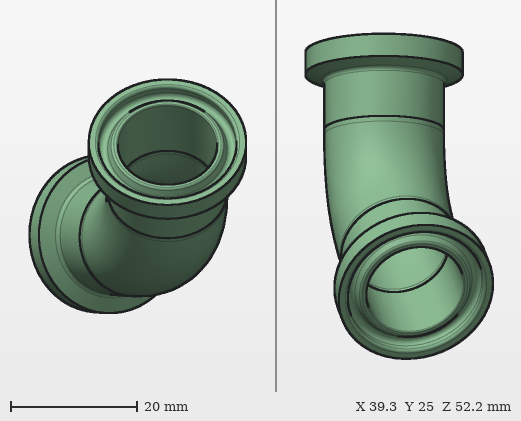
import cadquery as cq
import math

TUBE_OUTER_RADIUS = 19.05 / 2
TUBE_INNER_RADIUS = 15.75 / 2
BEND_ANGLE = 45.0
BEND_RADIUS = 3 * TUBE_OUTER_RADIUS
CORNER_TO_FACE = 25.4

FERRULE_LENGTH = 12.7
FLANGE_RADIUS = 12.5
RIM_THICKNESS = 3.65
FLANGE_BACK_SLOPE = 20.0
NECK_FILLET = 0.76

GROOVE_OUTER_RADIUS = 10.95
GROOVE_RIM_FILLET = 0.5
GROOVE_FLOOR_RADIUS = 0.78
GROOVE_FLOOR_CENTER_DEPTH = 1.43
GROOVE_INNER_SLOPE = 60.0

LAND_DEPTH = 0.65
LAND_OUTER_FILLET = 0.5
BORE_EDGE_FILLET = 0.2

bend_setback = BEND_RADIUS * math.tan(math.radians(BEND_ANGLE / 2))
tail_length = CORNER_TO_FACE - bend_setback - FERRULE_LENGTH


def polar(center, radius, angle):
    """Point on a circle, at an angle in degrees from the +X direction."""
    a = math.radians(angle)
    return (center[0] + radius * math.cos(a), center[1] + radius * math.sin(a))


def make_ferrule():
    """Ferrule on the Z axis, its outer face at Z = 0 and its tube running down."""
    rim_center = (GROOVE_OUTER_RADIUS + GROOVE_RIM_FILLET, -GROOVE_RIM_FILLET)

    floor_center = (GROOVE_OUTER_RADIUS - GROOVE_FLOOR_RADIUS, -GROOVE_FLOOR_CENTER_DEPTH)
    slope_normal = 90 - GROOVE_INNER_SLOPE
    floor_end_angle = 180 + slope_normal
    floor_mid_angle = (floor_end_angle + 360) / 2
    floor_end = polar(floor_center, GROOVE_FLOOR_RADIUS, floor_end_angle)

    land_center_z = -LAND_DEPTH - LAND_OUTER_FILLET
    slope_end_z = land_center_z + LAND_OUTER_FILLET * math.sin(math.radians(slope_normal))
    slope_run = (slope_end_z - floor_end[1]) / math.tan(math.radians(GROOVE_INNER_SLOPE))
    slope_end = (floor_end[0] - slope_run, slope_end_z)
    land_center = polar(slope_end, LAND_OUTER_FILLET, 180 + slope_normal)
    land_mid_angle = (slope_normal + 90) / 2

    bore_edge_center = (TUBE_INNER_RADIUS + BORE_EDGE_FILLET, -LAND_DEPTH - BORE_EDGE_FILLET)

    back_drop = (FLANGE_RADIUS - TUBE_OUTER_RADIUS) * math.tan(math.radians(FLANGE_BACK_SLOPE))
    back_corner_z = -RIM_THICKNESS - back_drop
    neck_tangent = NECK_FILLET * math.tan(math.radians((90 - FLANGE_BACK_SLOPE) / 2))
    neck_center = (TUBE_OUTER_RADIUS + NECK_FILLET, back_corner_z - neck_tangent)
    neck_start_angle = 90 + FLANGE_BACK_SLOPE
    neck_mid_angle = (neck_start_angle + 180) / 2

    profile = (
        cq.Workplane("XZ")
        .moveTo(FLANGE_RADIUS, 0)
        .lineTo(rim_center[0], 0)
        .threePointArc(polar(rim_center, GROOVE_RIM_FILLET, 135), (GROOVE_OUTER_RADIUS, rim_center[1]))
        .lineTo(GROOVE_OUTER_RADIUS, floor_center[1])
        .threePointArc(polar(floor_center, GROOVE_FLOOR_RADIUS, floor_mid_angle), floor_end)
        .lineTo(*slope_end)
        .threePointArc(
            polar(land_center, LAND_OUTER_FILLET, land_mid_angle),
            (land_center[0], -LAND_DEPTH),
        )
        .lineTo(bore_edge_center[0], -LAND_DEPTH)
        .threePointArc(
            polar(bore_edge_center, BORE_EDGE_FILLET, 135),
            (TUBE_INNER_RADIUS, bore_edge_center[1]),
        )
        .lineTo(TUBE_INNER_RADIUS, -FERRULE_LENGTH)
        .lineTo(TUBE_OUTER_RADIUS, -FERRULE_LENGTH)
        .lineTo(TUBE_OUTER_RADIUS, neck_center[1])
        .threePointArc(
            polar(neck_center, NECK_FILLET, neck_mid_angle),
            polar(neck_center, NECK_FILLET, neck_start_angle),
        )
        .lineTo(FLANGE_RADIUS, -RIM_THICKNESS)
        .close()
    )
    return profile.revolve(360, (0, 0, 0), (0, 1, 0))


def make_elbow():
    """Bent tube whose upper end meets the ferrule that hangs from Z = 0."""
    top_z = -FERRULE_LENGTH
    bend_start = (0, top_z - tail_length)
    bend_center = (-BEND_RADIUS, bend_start[1])
    bend_middle = polar(bend_center, BEND_RADIUS, -BEND_ANGLE / 2)
    bend_end = polar(bend_center, BEND_RADIUS, -BEND_ANGLE)
    tail_end = polar(bend_end, tail_length, -90 - BEND_ANGLE)
    path = (
        cq.Workplane("XZ")
        .moveTo(0, top_z)
        .lineTo(*bend_start)
        .threePointArc(bend_middle, bend_end)
        .lineTo(*tail_end)
    )
    wall = cq.Workplane("XY", origin=(0, 0, top_z)).circle(TUBE_OUTER_RADIUS).circle(TUBE_INNER_RADIUS)
    return wall.sweep(path)


def place_on_leg(ferrule, leg_angle):
    """Turn a ferrule about the point where the two leg axes cross, to face outward along a leg."""
    corner = (0, 0, -CORNER_TO_FACE)
    corner_along_y = (0, 1, -CORNER_TO_FACE)
    return ferrule.rotate(corner, corner_along_y, leg_angle)


elbow = make_elbow()

ferrules = []
for leg_angle in (0, 180 + BEND_ANGLE):
    ferrules.append(place_on_leg(make_ferrule(), leg_angle))

result = cq.Compound.makeCompound([elbow.val(), *(ferrule.val() for ferrule in ferrules)])